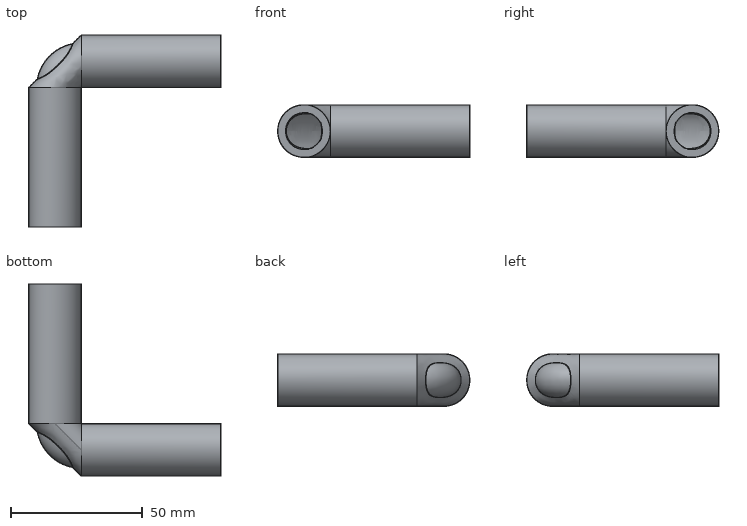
import cadquery as cq
import math

overall = 73.0
tube_diameter = 20.0
bore_diameter = 14.0
bulge_skin = 0.15

tube_radius = tube_diameter / 2
bore_radius = bore_diameter / 2
leg_length = overall - tube_diameter

leg_x_start = cq.Plane(origin=(0, tube_radius, 0), xDir=(0, 1, 0), normal=(1, 0, 0))
leg_y_start = cq.Plane(origin=(-tube_radius, 0, 0), xDir=(1, 0, 0), normal=(0, -1, 0))


def cylinder(start, radius):
    """Straight round bar along one leg."""
    return cq.Workplane(start).circle(radius).extrude(leg_length)


def corner_wedge(radius):
    """Slanted bar between the legs, with a circular section at each leg's start."""
    diagonal = cq.Plane(origin=leg_y_start.origin, xDir=(1, -1, 0), normal=(1, 1, 0))
    bar = (
        cq.Workplane(diagonal)
        .workplane(offset=-2 * tube_diameter)
        .ellipse(radius / math.sqrt(2), radius)
        .extrude(4 * tube_diameter)
    )
    corner_box = cq.Workplane("XY").box(tube_diameter, tube_diameter, tube_diameter)
    return bar.intersect(corner_box.translate((-tube_radius, tube_radius, 0)))


def bore_bend():
    """Quarter torus around the inner corner, continuing both bores."""
    return (
        cq.Workplane(leg_y_start)
        .circle(bore_radius)
        .revolve(90, (tube_radius, 0, 0), (tube_radius, -1, 0))
    )


body = (
    cylinder(leg_x_start, tube_radius)
    .union(cylinder(leg_y_start, tube_radius))
    .union(corner_wedge(tube_radius))
    .union(bore_bend())
)

bend_cavity = bore_bend().intersect(corner_wedge(tube_radius - bulge_skin))

result = (
    body.cut(cylinder(leg_x_start, bore_radius))
    .cut(cylinder(leg_y_start, bore_radius))
    .cut(bend_cavity)
)